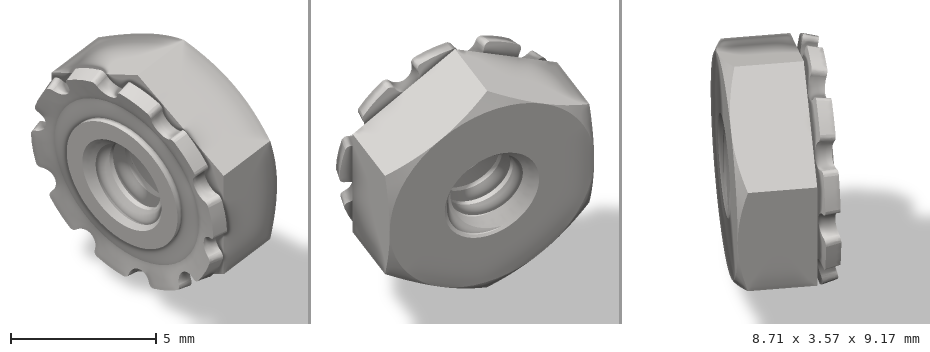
import cadquery as cq
import math


corner_diameter = 9.17
hex_height = 2.76
flat_radius = corner_diameter / 2 * math.cos(math.radians(30))
hex_chamfer_angle = 30.0

washer_height = 0.81
cone_angle = 15.0
flat_face_radius = 3.33
rim_front_radius = 4.21
rim_back_radius = 4.36
tooth_count = 10
notch_angle = 28.5
notch_radius = 0.5
notch_floor_radius = 3.68
tooth_corner_radius = 0.2
cone_slope = math.tan(math.radians(cone_angle))
face_recess = (rim_front_radius - flat_face_radius) * cone_slope
rim_lean = rim_back_radius - rim_front_radius
rim_back_z = washer_height - rim_lean / cone_slope
back_bend_radius = rim_back_radius - rim_back_z / cone_slope

hub_radius = 2.56
hub_height = washer_height
bore_radius = 1.31
thread_root_radius = 1.75
thread_pitch = 0.794
thread_root_flat = thread_pitch / 8
thread_half_angle = 30.0
thread_turns = 7
mouth_clearance = 0.05
thread_lead_in = 1.32
thread_start_z = -hex_height - thread_lead_in
countersink_radius = 1.83


def make_hex_body():
    body = (
        cq.Workplane("XY")
        .workplane(offset=-hex_height)
        .polygon(6, corner_diameter)
        .extrude(hex_height)
        .rotate((0, 0, 0), (0, 0, 1), 30)
    )
    cone_rise = flat_radius * math.tan(math.radians(hex_chamfer_angle))
    envelope = (
        cq.Workplane("XZ")
        .moveTo(0, -hex_height)
        .lineTo(flat_radius, -hex_height)
        .lineTo(2 * flat_radius, cone_rise - hex_height)
        .lineTo(2 * flat_radius, 0)
        .lineTo(0, 0)
        .close()
        .revolve(360, (0, 0), (0, 1))
    )
    return body.intersect(envelope)


def make_washer():
    washer = (
        cq.Workplane("XZ")
        .moveTo(0, 0)
        .lineTo(back_bend_radius, 0)
        .lineTo(rim_back_radius, rim_back_z)
        .lineTo(rim_front_radius, washer_height)
        .lineTo(flat_face_radius, washer_height - face_recess)
        .lineTo(0, washer_height - face_recess)
        .close()
        .revolve(360, (0, 0), (0, 1))
        .rotate((0, 0, 0), (0, 0, 1), notch_angle)
    )
    notch_center = notch_floor_radius + notch_radius
    notch = (
        cq.Workplane("XY")
        .moveTo(rim_back_radius + notch_radius, -notch_radius)
        .lineTo(notch_center, -notch_radius)
        .threePointArc((notch_floor_radius, 0), (notch_center, notch_radius))
        .lineTo(rim_back_radius + notch_radius, notch_radius)
        .close()
        .extrude(washer_height)
    )
    for i in range(tooth_count):
        angle = notch_angle + i * 360 / tooth_count
        washer = washer.cut(notch.rotate((0, 0, 0), (0, 0, 1), angle))
    steep_limit = math.cos(math.radians(45))
    corners = [
        edge
        for edge in washer.edges().vals()
        if abs(edge.tangentAt(0.5).z) > steep_limit
        and math.hypot(edge.Center().x, edge.Center().y) > notch_center
    ]
    return washer.newObject(corners).fillet(tooth_corner_radius)


def make_thread_groove():
    flank_slope = math.tan(math.radians(thread_half_angle))
    mouth_radius = bore_radius - mouth_clearance
    root_half = thread_root_flat / 2
    mouth_half = root_half + (thread_root_radius - mouth_radius) * flank_slope
    length = thread_turns * thread_pitch
    profile = [
        (mouth_radius, -mouth_half),
        (thread_root_radius, -root_half),
        (thread_root_radius, root_half),
        (mouth_radius, mouth_half),
    ]
    helices = [
        cq.Wire.makeHelix(thread_pitch, length, radius, cq.Vector(0, 0, thread_start_z + z))
        for radius, z in profile
    ]
    faces = [
        cq.Face.makeRuledSurface(helices[i - 1], helices[i])
        for i in range(len(helices))
    ]
    for end_z in (thread_start_z, thread_start_z + length):
        corners = [cq.Vector(radius, 0, end_z + z) for radius, z in profile]
        faces.append(cq.Face.makeFromWires(cq.Wire.makePolygon(corners, close=True)))
    groove = cq.Solid.makeSolid(cq.Shell.makeShell(faces))
    return cq.Workplane(groove)


def make_countersink(face_z, inward):
    depth = countersink_radius - bore_radius
    return (
        cq.Workplane("XZ")
        .moveTo(0, face_z)
        .lineTo(countersink_radius, face_z)
        .lineTo(bore_radius, face_z + inward * depth)
        .lineTo(0, face_z + inward * depth)
        .close()
        .revolve(360, (0, 0), (0, 1))
    )


hub = cq.Workplane("XY").circle(hub_radius).extrude(hub_height)
bore = (
    cq.Workplane("XY")
    .workplane(offset=-hex_height)
    .circle(bore_radius)
    .extrude(hex_height + hub_height)
)
nut = make_hex_body().union(make_washer()).union(hub)
nut = nut.cut(bore).cut(make_thread_groove())
nut = nut.cut(make_countersink(-hex_height, 1)).cut(make_countersink(hub_height, -1))

result = nut.rotate((0, 0, 0), (1, 0, 0), 90)